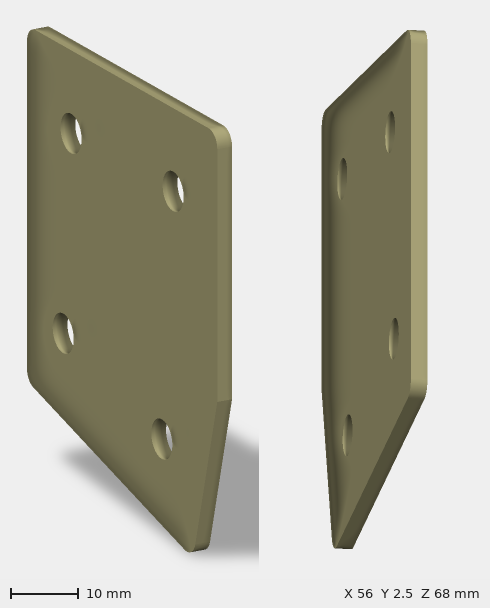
import cadquery as cq
import math

width = 56.0
height = 67.95
thickness = 2.5
corner_radius = 2.5
tilt = 15.0
knee_depth = 41.9

hole_diameter = 6.2
hole_spacing = 30.0
upper_hole_x = 13.0
upper_hole_depth = 13.0
lower_hole_x = 10.7
lower_hole_depth = 44.85

sin_tilt = math.sin(math.radians(tilt))
cos_tilt = math.cos(math.radians(tilt))
tan_tilt = sin_tilt / cos_tilt

tip_depth = height - corner_radius + corner_radius * (cos_tilt + sin_tilt)
tip_x = width - (tip_depth - knee_depth) * tan_tilt
left_depth = tip_depth - tip_x * tan_tilt

top_left = (0, 0)
top_right = (width, 0)
knee = (width, -knee_depth)
tip = (tip_x, -tip_depth)
bottom_left = (0, -left_depth)


def make_plate():
    """Extrude the outline and round every corner except the knee."""
    outline = [top_left, top_right, knee, tip, bottom_left]
    plate = cq.Workplane("XZ").polyline(outline).close().extrude(thickness / 2, both=True)
    for x, z in (top_left, top_right, tip, bottom_left):
        corner_edge = cq.selectors.NearestToPointSelector((x, 0, z))
        plate = plate.edges("|Y").edges(corner_edge).fillet(corner_radius)
    return plate


def hole_pair(x, depth, angle):
    """Centres of two holes, the second at the given downward angle from the first."""
    slope = math.radians(angle)
    second_x = x + hole_spacing * math.cos(slope)
    second_depth = depth + hole_spacing * math.sin(slope)
    return [(x, -depth), (second_x, -second_depth)]


upper_holes = hole_pair(upper_hole_x, upper_hole_depth, 0)
lower_holes = hole_pair(lower_hole_x, lower_hole_depth, tilt)
hole_cutters = (
    cq.Workplane("XZ", origin=(0, thickness / 2, 0))
    .pushPoints(upper_holes + lower_holes)
    .circle(hole_diameter / 2)
    .extrude(thickness)
)

result = make_plate().cut(hole_cutters)